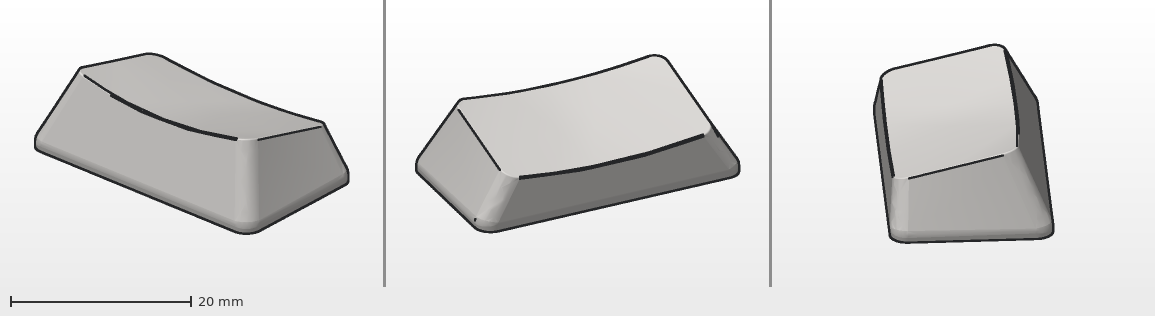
import cadquery as cq
import math

length = 32.45
width = 18.17
base_corner_radius = 1.95
skirt_height = 0.97
skirt_blend_radius = 1.45

rim_height = 9.6
side_inset = 3.4
front_inset = 3.93
back_inset = 0.55
top_slope = 14.2
top_corner_radius = 1.75
rim_round = 0.2

front_dish_depth = 1.62
back_dish_depth = 1.05
dish_margin = 4.87
wall_overshoot = 1.15

level_tolerance = 0.03

rim_half_length = length / 2 - side_inset
rim_front = -width / 2 + front_inset
rim_back = width / 2 - back_inset
rim_drop = (rim_back - rim_front) * math.tan(math.radians(top_slope))


def rounded_rectangle(center, tilt, size_x, size_y, radius):
    """Closed rounded outline, tilted about X so that its back edge drops."""
    angle = math.radians(tilt)
    normal = (0, math.sin(angle), math.cos(angle))
    plane = cq.Plane(origin=center, xDir=(1, 0, 0), normal=normal)
    outline = cq.Workplane(plane).rect(size_x, size_y).val()
    return outline.fillet2D(radius, outline.Vertices())


def extend(start, end):
    """Carry a wall line past its end at the rim."""
    return start + wall_overshoot * (end - start)


def make_walls():
    """Sloping walls between the skirt and an outline above the rim."""
    half_length = extend(length / 2, rim_half_length)
    front = extend(-width / 2, rim_front)
    back = extend(width / 2, rim_back)
    front_height = extend(skirt_height, rim_height)
    back_height = extend(skirt_height, rim_height - rim_drop)
    run = back - front
    drop = front_height - back_height
    center = (0, (front + back) / 2, (front_height + back_height) / 2)
    tilt = math.degrees(math.atan2(drop, run))
    lower = rounded_rectangle((0, 0, skirt_height), 0, length, width, base_corner_radius)
    upper = rounded_rectangle(center, tilt, 2 * half_length, math.hypot(run, drop), top_corner_radius)
    return cq.Workplane(cq.Solid.makeLoft([lower, upper], True))


def dish_section(along_top, depth):
    """Circle square to the slope that meets both side rims and sinks to the given depth."""
    angle = math.radians(top_slope)
    along = cq.Vector(0, math.cos(angle), -math.sin(angle))
    up = cq.Vector(0, math.sin(angle), math.cos(angle))
    radius = (rim_half_length**2 + depth**2) / (2 * depth)
    rim_point = cq.Vector(0, rim_front, rim_height) + along * along_top
    center = rim_point + up * (radius - depth)
    return cq.Wire.makeCircle(radius, center, along)


def make_dish():
    """Tapering round cutter, shallower toward the back of the top face."""
    top_run = math.hypot(rim_back - rim_front, rim_drop)
    taper = (back_dish_depth - front_dish_depth) / top_run
    first = dish_section(-dish_margin, front_dish_depth - taper * dish_margin)
    last = dish_section(top_run + dish_margin, back_dish_depth + taper * dish_margin)
    return cq.Workplane(cq.Solid.makeLoft([first, last], True))


def at_height(height):
    """Selector for edges lying around the given height."""
    return cq.selectors.BoxSelector(
        (-length, -width, height - level_tolerance),
        (length, width, height + level_tolerance),
    )


skirt = (
    cq.Workplane()
    .rect(length, width)
    .extrude(skirt_height)
    .edges("|Z")
    .fillet(base_corner_radius)
)
body = (
    skirt.union(make_walls())
    .edges(at_height(skirt_height))
    .fillet(skirt_blend_radius)
    .cut(make_dish())
)

dish_face = body.faces(cq.selectors.NearestToPointSelector((0, 0, rim_height - rim_drop / 2)))
result = dish_face.edges().fillet(rim_round)